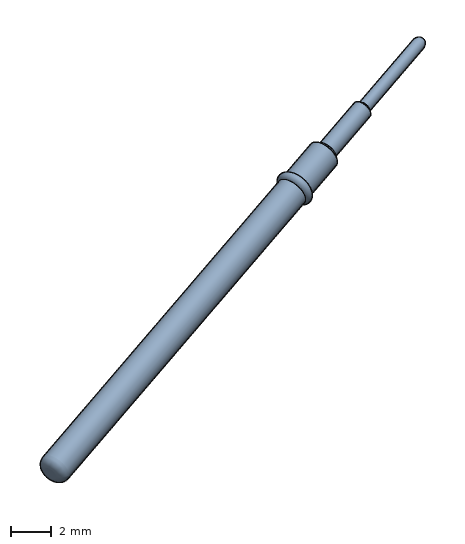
import cadquery as cq
import math

total_length = 32.3
nose_end = -total_length / 2
tip_end = total_length / 2

ring_diameter = 2.0
barrel_diameter = 1.65
sleeve_diameter = 1.03
wire_diameter = 0.68
tip_diameter = 0.42

ring_radius = ring_diameter / 2
barrel_radius = barrel_diameter / 2
sleeve_radius = sleeve_diameter / 2
wire_radius = wire_diameter / 2
tip_radius = tip_diameter / 2

ring_from_tip = 11.05
barrel_from_tip = 8.3
wire_from_tip = 5.0

ring_center = tip_end - ring_from_tip
barrel_end = tip_end - barrel_from_tip
wire_start = tip_end - wire_from_tip

ring_width = 0.52
nose_round = 0.45
barrel_chamfer = 0.23
sleeve_taper_length = 0.15
tip_round_length = 0.32

nose_inset = nose_round * (1 - math.sqrt(0.5))

profile = (
    cq.Workplane("XY")
    .moveTo(0, nose_end)
    .lineTo(barrel_radius - nose_round, nose_end)
    .threePointArc(
        (barrel_radius - nose_inset, nose_end + nose_inset),
        (barrel_radius, nose_end + nose_round),
    )
)

profile = (
    profile.lineTo(barrel_radius, ring_center - ring_width / 2)
    .threePointArc((ring_radius, ring_center), (barrel_radius, ring_center + ring_width / 2))
    .lineTo(barrel_radius, barrel_end - barrel_chamfer)
    .lineTo(barrel_radius - barrel_chamfer, barrel_end)
)

profile = (
    profile.lineTo(sleeve_radius, barrel_end)
    .lineTo(sleeve_radius, wire_start - sleeve_taper_length)
    .lineTo(wire_radius, wire_start)
)

profile = (
    profile.lineTo(wire_radius, tip_end - tip_round_length)
    .tangentArcPoint((tip_radius, tip_end), relative=False)
    .lineTo(0, tip_end)
    .close()
)

result = profile.revolve(360, (0, 0, 0), (0, 1, 0))